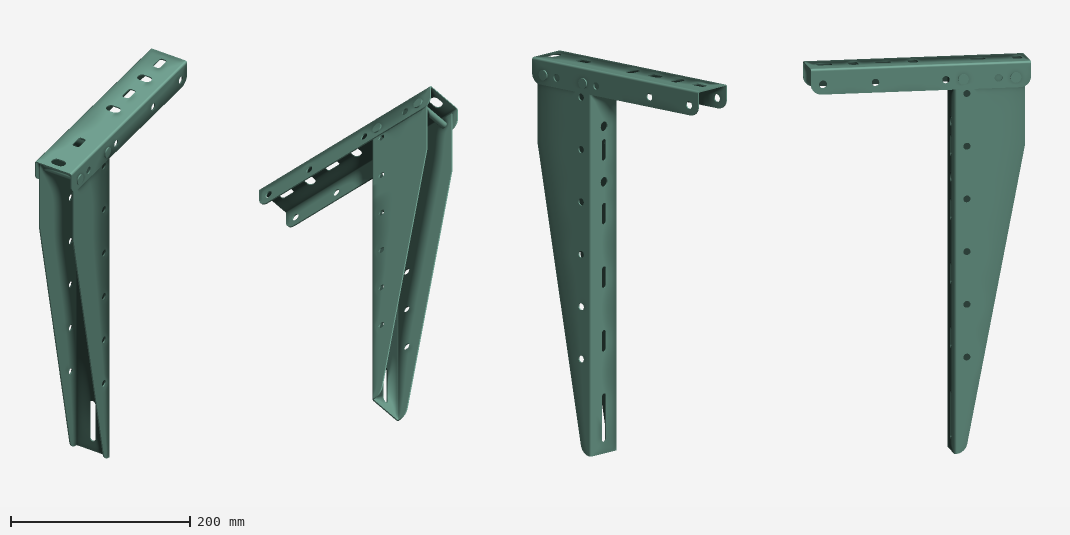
import cadquery as cq

total_width = 51.0
total_height = 445.0
arm_length = 250.0

sheet = 1.5
bend_radius = 2.5
bend_inner_radius = bend_radius - sheet
cutter_reach = 2 * sheet

post_width = 45.0
post_front = 6.5
post_depth = 80.0
post_back = post_front + post_depth
post_top = 439.5
taper_start_z = 349.0
foot_depth = 12.5
foot_radius = 14.0

flange_hole_diameter = 8.0
flange_hole_back_offset = 14.2
flange_hole_first_z = 410.5
flange_hole_pitch = 60.0
flange_hole_count = 6

web_hole_diameter = 11.0
web_hole_heights = (375.0, 311.5)
web_slot_width = 7.0
web_slot_length = 25.0
web_slot_first_z = 348.0
web_slot_pitch = 73.0
web_slot_count = 4
foot_slot_length = 55.5
foot_slot_z = 41.0

arm_width = post_width + 2 * sheet
arm_flange_height = 29.5
arm_corner_radius = 12.0
side_hole_z = total_height - 18.0
large_side_hole_diameter = 9.0
large_side_hole_places = (37.0, 236.5)
small_side_hole_diameter = 8.5
small_side_hole_places = (96.5, 176.5)

top_slot_length = 17.5
long_slot_width = 9.0
long_slot_corner_radius = 2.5
long_slot_places = (56.0, 163.8, 230.5)
cross_slot_width = 11.0
cross_slot_places = (11.5, 130.0, 197.5)

rivet_places = (17.5, 77.0)
rivet_diameter = 8.0
rivet_head_diameter = 12.0


def centred_block(width, depth, height, front, bottom):
    """Box centred in X, with its front and bottom faces at the given Y and Z."""
    block = cq.Workplane("XY").box(width, depth, height, centered=(True, False, False))
    return block.translate((0, front, bottom))


def x_cylinder(diameter, length, y, z):
    """Cylinder along X, centred on the symmetry plane."""
    return cq.Workplane("YZ").center(y, z).circle(diameter / 2).extrude(length / 2, both=True)


def slot_cutter(plane, length, width, v, angle):
    """Slot-shaped cutter on the centre line of the given plane, cutting through the sheet that lies there."""
    return cq.Workplane(plane).center(0, v).slot2D(length, width, angle).extrude(cutter_reach, both=True)


def channel(block, outer_edges, cavity, inner_edges):
    """Bent-sheet channel: a rounded block with a rounded cavity removed."""
    outside = block.edges(outer_edges).fillet(bend_radius)
    inside = cavity.edges(inner_edges).fillet(bend_inner_radius)
    return outside.cut(inside)


def make_post():
    """Tapered upright channel with its holes and slots."""
    block = centred_block(post_width, post_depth, post_top, post_front, 0)
    cavity = centred_block(post_width - 2 * sheet, post_depth, post_top, post_front - sheet, 0)
    post = channel(block, "|Z and >Y", cavity, "|Z and >Y")

    foot_front = post_back - foot_depth
    outline = (
        cq.Workplane("YZ")
        .polyline([
            (post_front, post_top),
            (post_back, post_top),
            (post_back, 0),
            (foot_front, 0),
            (post_front, taper_start_z),
        ])
        .close()
        .extrude(post_width / 2, both=True)
    )
    foot_edge = cq.selectors.NearestToPointSelector((0, foot_front, 0))
    post = post.intersect(outline.edges(foot_edge).fillet(foot_radius))

    for index in range(flange_hole_count):
        z = flange_hole_first_z - index * flange_hole_pitch
        post = post.cut(x_cylinder(flange_hole_diameter, total_width, post_back - flange_hole_back_offset, z))

    web = cq.Plane(origin=(0, post_back, 0), xDir=(1, 0, 0), normal=(0, -1, 0))
    for z in web_hole_heights:
        hole = cq.Workplane(web).center(0, z).circle(web_hole_diameter / 2).extrude(cutter_reach, both=True)
        post = post.cut(hole)
    for index in range(web_slot_count):
        z = web_slot_first_z - index * web_slot_pitch
        post = post.cut(slot_cutter(web, web_slot_length, web_slot_width, z, 90))
    return post.cut(slot_cutter(web, foot_slot_length, web_slot_width, foot_slot_z, 90))


def make_arm():
    """Level channel with rounded flange corners, side holes and top slots."""
    arm_bottom = total_height - arm_flange_height
    block = centred_block(arm_width, arm_length, arm_flange_height, 0, arm_bottom)
    block = block.edges("|X and <Z").fillet(arm_corner_radius)
    cavity = centred_block(post_width, arm_length, arm_flange_height, 0, arm_bottom - sheet)
    arm = channel(block, "|Y and >Z", cavity, "|Y and >Z")

    for y in large_side_hole_places:
        arm = arm.cut(x_cylinder(large_side_hole_diameter, total_width, y, side_hole_z))
    for y in small_side_hole_places:
        arm = arm.cut(x_cylinder(small_side_hole_diameter, total_width, y, side_hole_z))

    top = cq.Plane(origin=(0, 0, total_height))
    for y in long_slot_places:
        slot = cq.Workplane(top).center(0, y).rect(long_slot_width, top_slot_length)
        slot = slot.extrude(cutter_reach, both=True)
        arm = arm.cut(slot.edges("|Z").fillet(long_slot_corner_radius))
    for y in cross_slot_places:
        arm = arm.cut(slot_cutter(top, top_slot_length, cross_slot_width, y, 0))
    return arm


def make_rivet(y):
    """Rivet with its shank across the channel and a flat head on each side of the arm."""
    heads = x_cylinder(rivet_head_diameter, total_width, y, side_hole_z)
    heads = heads.cut(x_cylinder(rivet_head_diameter, arm_width, y, side_hole_z))
    shank = x_cylinder(rivet_diameter, total_width, y, side_hole_z)
    return shank.union(heads)


result = make_post().union(make_arm())
for rivet_y in rivet_places:
    result = result.union(make_rivet(rivet_y))